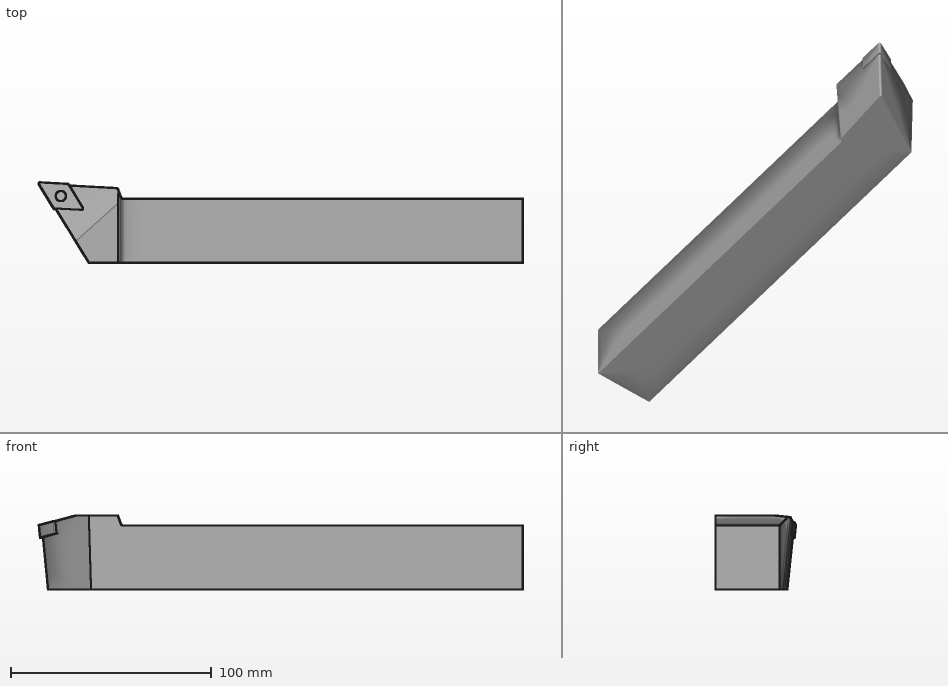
import cadquery as cq
import math


length = 241.38
reach = 40.19
shank_size = 32.0
head_height = 37.0
head_rise = head_height - shank_size

insert_angle = math.radians(55.0)
inscribed_circle = 12.7
insert_thickness = 6.35
nose_radius = 0.8
insert_hole_diameter = 5.16

tip_height = shank_size
back_edge_angle = math.radians(3.1)
slope_x = math.tan(math.radians(5.5))
slope_y = math.tan(math.radians(6.1))

insert_overhang = 0.8
head_nose_radius = 0.8
shoulder_top_x = 39.5
shoulder_foot_x = 41.3
shoulder_foot_radius = 1.2
shoulder_corner_radius = 1.5
head_end_x = 50.0

construction_size = 2 * head_end_x
catch = 0.1

rake_normal = cq.Vector(-slope_x, slope_y, 1).normalized()
edge_plan_x = math.cos(back_edge_angle)
edge_plan_y = -math.sin(back_edge_angle)
edge_rise = slope_x * edge_plan_x - slope_y * edge_plan_y
back_edge = cq.Vector(edge_plan_x, edge_plan_y, edge_rise).normalized()
across_edge = rake_normal.cross(back_edge)

nose_setback = nose_radius / math.sin(insert_angle / 2)
bisector = back_edge * math.cos(insert_angle / 2) - across_edge * math.sin(insert_angle / 2)
nose_centre_x = nose_radius * math.sqrt(1 - rake_normal.x**2)
nose_centre_y = reach - nose_radius * math.sqrt(1 - rake_normal.y**2)
tip_x = nose_centre_x - nose_setback * bisector.x
tip_y = nose_centre_y - nose_setback * bisector.y

rake_plane = cq.Plane(origin=(tip_x, tip_y, tip_height), xDir=back_edge, normal=rake_normal)
along_normal = cq.selectors.ParallelDirSelector(rake_normal)

side_x = math.cos(insert_angle)
side_y = -math.sin(insert_angle)


def box_around_line(x, y):
    """Selector for an edge of any height near x and y."""
    return cq.selectors.BoxSelector(
        (x - catch, y - catch, -construction_size),
        (x + catch, y + catch, construction_size),
    )


def make_insert():
    """Rhombic plate with rounded corners and a central hole, hanging below the rake plane."""
    edge_length = inscribed_circle / math.sin(insert_angle)
    far_corner_x = edge_length * (1 + side_x)
    far_corner_y = edge_length * side_y
    outline = [
        (0, 0),
        (edge_length, 0),
        (far_corner_x, far_corner_y),
        (edge_length * side_x, far_corner_y),
    ]
    plate = cq.Workplane(rake_plane).polyline(outline).close().extrude(-insert_thickness)
    plate = plate.edges(along_normal).fillet(nose_radius)
    hole = (
        cq.Workplane(rake_plane)
        .center(far_corner_x / 2, far_corner_y / 2)
        .circle(insert_hole_diameter / 2)
        .extrude(-insert_thickness)
    )
    return plate.cut(hole)


def make_flank_wedge():
    """Wedge below the rake plane whose two flanks lie inside the insert's cutting edges."""
    corner_x = insert_overhang / math.tan(insert_angle / 2)
    corner_y = -insert_overhang
    outline = [
        (corner_x, corner_y),
        (corner_x + construction_size, corner_y),
        (corner_x + construction_size * side_x, corner_y + construction_size * side_y),
    ]
    wedge = cq.Workplane(rake_plane).polyline(outline).close().extrude(-construction_size)
    corner = rake_plane.toWorldCoords((corner_x, corner_y, -construction_size / 2))
    nose_edge = cq.selectors.NearestToPointSelector(corner.toTuple())
    return wedge.edges(along_normal).edges(nose_edge).fillet(head_nose_radius)


def make_shoulder_prism(plane, rise, depth):
    """Head outline whose sloped shoulder runs down through a fillet into the shank."""
    slope_run = (shoulder_foot_x - shoulder_top_x) * rise / head_rise
    outline = [
        (0, 0),
        (head_end_x, 0),
        (head_end_x, shank_size),
        (shoulder_foot_x, shank_size),
        (shoulder_foot_x - slope_run, shank_size + rise),
        (0, shank_size + rise),
    ]
    return cq.Workplane(plane).polyline(outline).close().extrude(depth)


def make_head():
    """Raised head: its shoulder stands above the shank and also behind it."""
    over_shank = make_shoulder_prism("XZ", head_rise, -reach)
    over_foot = cq.selectors.BoxSelector(
        (shoulder_foot_x - catch, 0, shank_size - catch),
        (shoulder_foot_x + catch, reach, shank_size + catch),
    )
    over_shank = over_shank.edges(over_foot).fillet(shoulder_foot_radius)

    behind_shank = make_shoulder_prism("XY", reach - shank_size, head_height)
    behind_foot = box_around_line(shoulder_foot_x, shank_size)
    behind_shank = behind_shank.edges(behind_foot).fillet(shoulder_foot_radius)

    head = over_shank.intersect(behind_shank).intersect(make_flank_wedge())
    back_corner = cq.selectors.BoxSelector(
        (shoulder_top_x - catch, shank_size + catch, catch),
        (shoulder_foot_x, reach, shank_size),
    )
    return head.edges(back_corner).fillet(shoulder_corner_radius)


def make_holder(insert):
    """Shank and head, cut to seat the insert around a stud that fills the insert's hole."""
    shank = cq.Workplane("XY").box(
        length - head_end_x, shank_size, shank_size, centered=False
    )
    shank = shank.translate((head_end_x, 0, 0))
    return make_head().union(shank).cut(insert)


insert = make_insert()
holder = make_holder(insert)
result = cq.Compound.makeCompound([holder.val(), insert.val()])